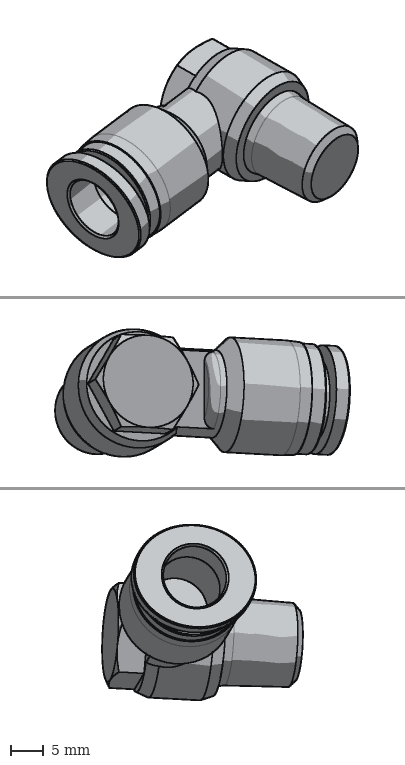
import cadquery as cq
import math


BARREL_DIA = 18.4
BARREL_RIM_DIA = 16.9
BARREL_LEFT = -3.0
BARREL_RIGHT = 8.8
BARREL_BEVEL = 1.9

NECK_DIA = 13.4
LEDGE_START = 10.3
LEDGE_FILLET = 1.45
SOCKET_CONE_START = 12.75
SOCKET_DIA = 17.6
SOCKET_CONE_END = SOCKET_CONE_START + (SOCKET_DIA - NECK_DIA) / 2
TAPER_START = 23.8
TAPER_END = 25.8
TAPER_END_DIA = 17.3
COLLAR_DIA = 16.9
SOCKET_END = 28.15
COLLAR_CHAMFER = 0.2

TUBE_BORE_DIA = 9.75
TUBE_STOP = SOCKET_CONE_END

SLEEVE_STEM_DIA = 11.9
BORE_BEVEL = 0.33
SLEEVE_LENGTH = 5.8
FLANGE_WIDTH = 19.0
FLANGE_HEIGHT = 16.6
FLANGE_START = 29.38
FLANGE_CHAMFER = 0.2
SLEEVE_END = 40.8 - BARREL_DIA / 2
SLEEVE_START = SLEEVE_END - SLEEVE_LENGTH

HEX_FLATS = 14.3
HEX_FACE = -7.5
HEX_CHAMFER_LENGTH = 0.6
HEX_CORNERS = HEX_FLATS / math.cos(math.pi / 6)
SHANK_DIA = 12.7
SHOULDER_DIA = 14.0
SHOULDER_START = 9.05
THREAD_START = 10.4
THREAD_START_DIA = 13.5
THREAD_END_DIA = 12.9
BOLT_END = 21.38
TIP_CHAMFER = 0.98


def revolve_about_x(points):
    """Turn an (x, radius) outline about the swivel axis."""
    return cq.Workplane("XY").polyline(points).close().revolve(360, (0, 0), (1, 0))


def revolve_about_tube(points):
    """Turn a (radius, distance) outline about the tube axis."""
    outline = [(radius, -distance) for radius, distance in points]
    return cq.Workplane("XY").polyline(outline).close().revolve(360, (0, 0), (0, 1))


def cylinder_on_tube(diameter, start, end):
    """Round bar on the tube axis between two distances."""
    return cq.Workplane("XZ", origin=(0, -start, 0)).circle(diameter / 2).extrude(end - start)


def make_barrel():
    return revolve_about_x([
        (BARREL_LEFT, 0),
        (BARREL_LEFT, BARREL_RIM_DIA / 2),
        (BARREL_LEFT + BARREL_BEVEL, BARREL_DIA / 2),
        (BARREL_RIGHT - BARREL_BEVEL, BARREL_DIA / 2),
        (BARREL_RIGHT, BARREL_RIM_DIA / 2),
        (BARREL_RIGHT, 0),
    ])


def make_neck():
    """Neck cut flush with the barrel's left face, above a rounded full-width ledge."""
    neck = cylinder_on_tube(NECK_DIA, 0, SOCKET_CONE_START)
    beside_barrel = cq.Workplane("XY").box(
        NECK_DIA, SOCKET_CONE_START, NECK_DIA, centered=(False, False, True)
    ).translate((BARREL_LEFT - NECK_DIA, -SOCKET_CONE_START, 0))
    ledge = cylinder_on_tube(NECK_DIA, LEDGE_START, SOCKET_CONE_START)
    ledge = ledge.faces(">Y").edges().fillet(LEDGE_FILLET)
    return neck.cut(beside_barrel).union(ledge)


def make_socket():
    return revolve_about_tube([
        (0, SOCKET_CONE_START),
        (NECK_DIA / 2, SOCKET_CONE_START),
        (SOCKET_DIA / 2, SOCKET_CONE_END),
        (SOCKET_DIA / 2, TAPER_START),
        (TAPER_END_DIA / 2, TAPER_END),
        (COLLAR_DIA / 2, TAPER_END),
        (COLLAR_DIA / 2, SOCKET_END - COLLAR_CHAMFER),
        (COLLAR_DIA / 2 - COLLAR_CHAMFER, SOCKET_END),
        (0, SOCKET_END),
    ])


def make_elbow():
    """Barrel, neck and socket, with the bolt bore, sleeve recess and blind tube bore."""
    bolt_bore = (
        cq.Workplane("YZ", origin=(BARREL_LEFT, 0, 0))
        .circle(SHANK_DIA / 2)
        .extrude(BARREL_RIGHT - BARREL_LEFT)
    )
    sleeve_recess = cylinder_on_tube(SLEEVE_STEM_DIA, SLEEVE_START, SOCKET_END)
    tube_bore = cylinder_on_tube(TUBE_BORE_DIA, TUBE_STOP, SOCKET_END)
    outside = make_barrel().union(make_neck()).union(make_socket())
    return outside.cut(bolt_bore).cut(sleeve_recess).cut(tube_bore)


def make_release_sleeve():
    """Tubular stem with an oval press flange; its bore lines up with the elbow's tube bore."""
    stem = cylinder_on_tube(SLEEVE_STEM_DIA, SLEEVE_START, SLEEVE_END)
    flange = (
        cq.Workplane("XZ", origin=(0, -FLANGE_START, 0))
        .ellipse(FLANGE_WIDTH / 2, FLANGE_HEIGHT / 2)
        .extrude(SLEEVE_END - FLANGE_START)
        .faces("<Y")
        .edges()
        .chamfer(FLANGE_CHAMFER)
    )
    bore_radius = TUBE_BORE_DIA / 2
    bore = revolve_about_tube([
        (0, SLEEVE_START),
        (bore_radius, SLEEVE_START),
        (bore_radius, SLEEVE_END - BORE_BEVEL),
        (bore_radius + BORE_BEVEL, SLEEVE_END),
        (0, SLEEVE_END),
    ])
    return stem.union(flange).cut(bore)


def make_hex_head():
    """Hexagon with corners on the Y axis, its outer corners turned down to the flats."""
    head_length = BARREL_LEFT - HEX_FACE
    hexagon = cq.Workplane("YZ", origin=(HEX_FACE, 0, 0)).polygon(6, HEX_CORNERS).extrude(head_length)
    turned_blank = revolve_about_x([
        (HEX_FACE, 0),
        (HEX_FACE, HEX_FLATS / 2),
        (HEX_FACE + HEX_CHAMFER_LENGTH, HEX_CORNERS / 2),
        (BARREL_LEFT, HEX_CORNERS / 2),
        (BARREL_LEFT, 0),
    ])
    return hexagon.intersect(turned_blank)


def make_swivel_bolt():
    """Hex head, shank through the barrel, and tapered thread end."""
    shaft = revolve_about_x([
        (BARREL_LEFT, 0),
        (BARREL_LEFT, SHANK_DIA / 2),
        (SHOULDER_START, SHANK_DIA / 2),
        (SHOULDER_START, SHOULDER_DIA / 2),
        (THREAD_START, THREAD_START_DIA / 2),
        (BOLT_END - TIP_CHAMFER, THREAD_END_DIA / 2),
        (BOLT_END, THREAD_END_DIA / 2 - TIP_CHAMFER),
        (BOLT_END, 0),
    ])
    return make_hex_head().union(shaft)


elbow = make_elbow()
release_sleeve = make_release_sleeve()
swivel_bolt = make_swivel_bolt()

result = cq.Compound.makeCompound([elbow.val(), release_sleeve.val(), swivel_bolt.val()])